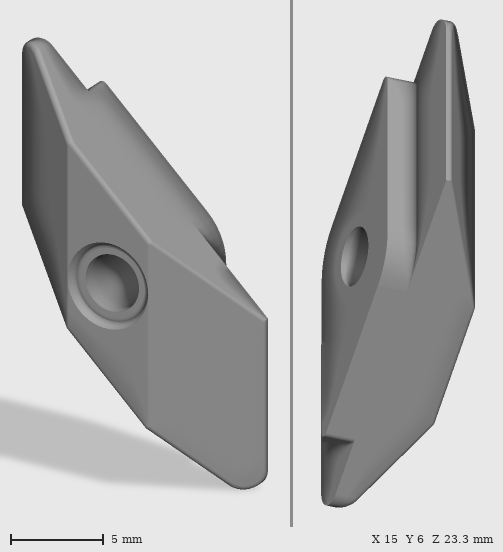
import cadquery as cq
import math

nut_width = 7.9
head_length_x = 14.98
head_depth = 4.25
head_corner_radius = 1.0
lip_depth = 0.33
front_face_width = 5.0
edge_fillet = 0.25

stem_depth = 1.75
stem_corner_radius = 0.3

hole_diameter = 3.3
recess_floor_diameter = 4.39
recess_mouth_diameter = 4.95
recess_depth = 0.5

half_width = nut_width / 2
side_offset = half_width * math.sqrt(2)
shoulder_y = 0
front_y = shoulder_y - head_depth


def rhomboid(half_x, depth):
    """Prism from the shoulder plane, with vertical ends and sides falling at 45 degrees."""
    corners = [
        (-half_x, half_x - side_offset),
        (-half_x, half_x + side_offset),
        (half_x, side_offset - half_x),
        (half_x, -half_x - side_offset),
    ]
    return cq.Workplane("XZ", origin=(0, shoulder_y, 0)).polyline(corners).close().extrude(depth)


def make_head():
    half_x = head_length_x / 2
    half_front = front_face_width / 2
    blank = rhomboid(half_x, head_depth)
    blank = blank.edges("|Y").edges(">Z or <Z").fillet(head_corner_radius)

    taper = (
        cq.Workplane("XY")
        .polyline([
            (-half_x, shoulder_y),
            (-half_x, shoulder_y - lip_depth),
            (-half_front, front_y),
            (half_front, front_y),
            (half_x, shoulder_y - lip_depth),
            (half_x, shoulder_y),
        ])
        .close()
        .extrude(head_length_x + side_offset, both=True)
    )
    head = blank.intersect(taper)
    return head.edges("not(>Y or |Y)").fillet(edge_fillet)


def make_stem():
    stem = rhomboid(half_width, -stem_depth)
    stem = stem.edges("|Y").edges(">Z or <Z").fillet(stem_corner_radius)
    blunt_corner = (half_width, shoulder_y + stem_depth / 2, side_offset - half_width)
    for sign in (1, -1):
        corner = (sign * blunt_corner[0], blunt_corner[1], sign * blunt_corner[2])
        nearest = cq.selectors.NearestToPointSelector(corner)
        stem = stem.edges("|Y").edges(nearest).fillet(half_width)
    return stem


def make_hole():
    """Bolt hole with a shallow recess that tapers inward to a flat floor."""
    hole_radius = hole_diameter / 2
    floor_y = front_y + recess_depth
    profile = (
        cq.Workplane("XY")
        .moveTo(0, shoulder_y + stem_depth)
        .lineTo(hole_radius, shoulder_y + stem_depth)
        .lineTo(hole_radius, floor_y)
        .lineTo(recess_floor_diameter / 2, floor_y)
        .lineTo(recess_mouth_diameter / 2, front_y)
        .lineTo(0, front_y)
        .close()
    )
    return profile.revolve(360, (0, 0, 0), (0, 1, 0))


result = make_head().union(make_stem()).cut(make_hole())